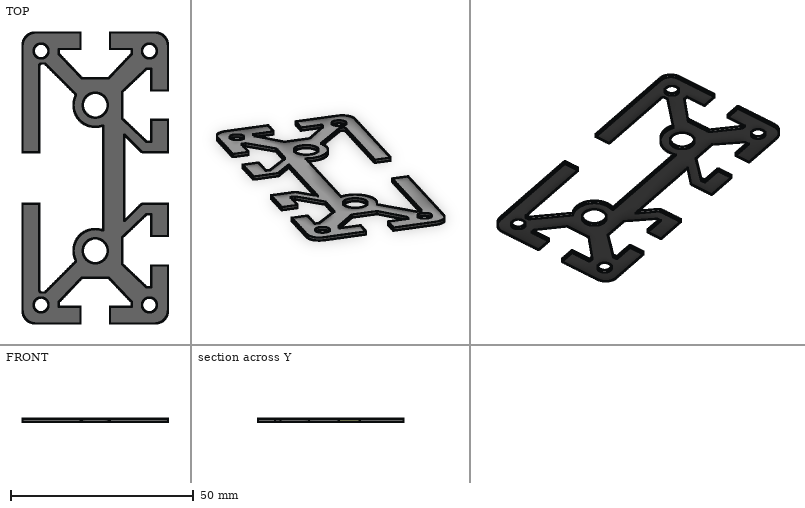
import cadquery as cq

width = 40.0
length = 80.0
thickness = 1.0
corner_radius = 3.6
half_width = width / 2

hub_y = length / 2 - half_width
end_length = 33.0
end_y = half_width - end_length
wall = 4.6
wall_inner = half_width - wall

bore_diameter = 6.8
boss_diameter = 12.0
corner_hole_diameter = 4.0
corner_hole_offset = 14.9

slot_mouth_half = 4.0
slot_inner_half = 10.0
slot_floor_half = 3.7
slot_floor = 7.4
slot_shoulder = 14.1

web_left = 2.2
web_right = 8.0
pocket_top = 11.4
pocket_radius = 0.6
strut_offset = 2.4
arm_root_y = -8.2
arm_radius = 1.2


def prism(points):
    return cq.Workplane("XY").polyline(points).close().extrude(thickness)


def disc(diameter, x=0, y=0):
    return cq.Workplane("XY").center(x, y).circle(diameter / 2).extrude(thickness)


def t_slot():
    """T-slot opening through the +Y side."""
    right_side = [
        (slot_floor_half, slot_floor),
        (slot_inner_half, slot_shoulder),
        (slot_inner_half, wall_inner),
        (slot_mouth_half, wall_inner),
        (slot_mouth_half, half_width),
    ]
    left_side = [(-x, y) for x, y in reversed(right_side)]
    return prism(right_side + left_side)


def left_pocket():
    """Open area between the left wall, the diagonal strut and the web."""
    pocket = prism([
        (-wall_inner, end_y),
        (-wall_inner, pocket_top),
        (-pocket_top - strut_offset, pocket_top),
        (web_left, -web_left - strut_offset),
        (web_left, end_y),
    ])
    wall_corner = cq.selectors.NearestToPointSelector((-wall_inner, pocket_top, thickness / 2))
    return pocket.edges("|Z").edges(wall_corner).fillet(pocket_radius)


def right_notch():
    """Triangular area between the web and the 45 degree arm."""
    arm_end_x = web_right + arm_root_y - end_y
    return prism([(web_right, end_y), (web_right, arm_root_y), (arm_end_x, end_y)])


def profile_end():
    block = (
        cq.Workplane("XY")
        .center(0, half_width - end_length / 2)
        .rect(width, end_length)
        .extrude(thickness)
        .edges("|Z and >Y")
        .fillet(corner_radius)
    )
    side_slot = t_slot().rotate((0, 0, 0), (0, 0, 1), -90)
    end = block.cut(t_slot()).cut(side_slot).cut(left_pocket()).cut(right_notch())

    arm_end_x = web_right + arm_root_y - end_y
    arm_bend = cq.selectors.NearestToPointSelector((arm_end_x, end_y, thickness / 2))
    end = end.edges("|Z").edges(arm_bend).fillet(arm_radius)

    end = end.union(disc(boss_diameter)).cut(disc(bore_diameter))
    for side in (-1, 1):
        end = end.cut(disc(corner_hole_diameter, side * corner_hole_offset, corner_hole_offset))
    return end.translate((0, hub_y, 0))


upper_end = profile_end()
lower_end = upper_end.mirror("XZ")

web_length = 2 * (hub_y + end_y)
web = (
    cq.Workplane("XY")
    .center((web_left + web_right) / 2, 0)
    .rect(web_right - web_left, web_length)
    .extrude(thickness)
)

result = upper_end.union(web).union(lower_end).clean()